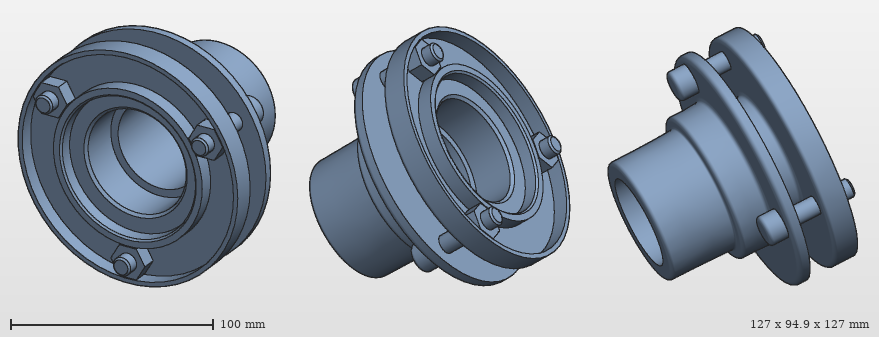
import cadquery as cq
import math


flange_radius = 63.5
front_flange_thickness = 13.3
rear_flange_front = 26.9
rear_flange_thickness = 6.4
rear_flange_back = rear_flange_front + rear_flange_thickness

boss_back = 51.7
neck_back = 88.3
waist_radius_front = 32.6
waist_radius_back = 32.1
boss_radius_front = 39.5
boss_radius_back = 39.1
neck_radius_front = 33.3
neck_radius_back = 32.6

edge_round = 2.0
rear_flange_round = 2.5
neck_root_round = 1.0
match_tolerance = 0.01

pocket_radius = 122.0 / 2
pocket_ring_radius = 86.0 / 2
pocket_depth = 8.0

seat_mouth_radius = 39.5
seat_chamfer = 1.0
seat_floor_radius = 38.1
seat_depth = 7.4
bore_radius = 56.6 / 2
bore_chamfer = 1.5
bore_depth = 30.5
outlet_radius = 48.1 / 2

bolt_circle_radius = 52.0
bolt_angles = (30, 150, 270)
shank_radius = 10.0 / 2
head_radius = 16.0 / 2
head_height = 10.0
tip_length = 6.6
tip_chamfer = 1.0
nut_across_flats = 17.0
nut_across_corners = nut_across_flats / math.cos(math.radians(30))


def turned(profile):
    """Revolve a closed outline of (radius, y) points about the Y axis."""
    return cq.Workplane("XY").polyline(profile).close().revolve(360, (0, 0), (0, 1))


def round_rim(body, y, radius, rounding):
    """Round the circular edge of the given radius lying at height y on the axis."""

    def is_rim(edge):
        same_height = abs(edge.Center().y - y) < match_tolerance
        if edge.geomType() != "CIRCLE" or not same_height:
            return False
        return abs(edge.radius() - radius) < match_tolerance

    rims = [edge for edge in body.edges().vals() if is_rim(edge)]
    return body.newObject(rims).fillet(rounding)


def rod(x, z, radius, start, end):
    """Cylinder parallel to the Y axis between two heights."""
    return cq.Workplane("XZ", origin=(x, start, z)).circle(radius).extrude(start - end)


def make_body():
    body = turned([
        (0, 0),
        (flange_radius, 0),
        (flange_radius, front_flange_thickness),
        (waist_radius_front, front_flange_thickness),
        (waist_radius_back, rear_flange_front),
        (flange_radius, rear_flange_front),
        (flange_radius, rear_flange_back),
        (boss_radius_front, rear_flange_back),
        (boss_radius_back, boss_back),
        (neck_radius_front, boss_back),
        (neck_radius_back, neck_back),
        (0, neck_back),
    ])
    body = round_rim(body, front_flange_thickness, flange_radius, edge_round)
    body = round_rim(body, front_flange_thickness, waist_radius_front, edge_round)
    body = round_rim(body, rear_flange_back, flange_radius, rear_flange_round)
    body = round_rim(body, rear_flange_back, boss_radius_front, edge_round)
    body = round_rim(body, boss_back, boss_radius_back, edge_round)
    body = round_rim(body, boss_back, neck_radius_front, neck_root_round)
    return round_rim(body, neck_back, neck_radius_back, edge_round)


def make_pocket():
    return turned([
        (pocket_ring_radius, 0),
        (pocket_radius, 0),
        (pocket_radius, pocket_depth),
        (pocket_ring_radius, pocket_depth),
    ])


def make_bore():
    return turned([
        (0, 0),
        (seat_mouth_radius, 0),
        (seat_mouth_radius - seat_chamfer, seat_chamfer),
        (seat_floor_radius, seat_depth),
        (bore_radius + bore_chamfer, seat_depth),
        (bore_radius, seat_depth + bore_chamfer),
        (bore_radius, bore_depth),
        (outlet_radius, bore_depth),
        (outlet_radius, neck_back),
        (0, neck_back),
    ])


def make_bolt(angle):
    """Bolt with a round head on the rear flange and a nut in the pocket."""
    x = bolt_circle_radius * math.cos(math.radians(angle))
    z = bolt_circle_radius * math.sin(math.radians(angle))
    head_back = rear_flange_back + head_height
    shank = rod(x, z, shank_radius, -tip_length, rear_flange_back)
    shank = shank.faces("<Y").chamfer(tip_chamfer)
    head = rod(x, z, head_radius, rear_flange_back, head_back)
    head = head.faces(">Y").edges().fillet(edge_round)
    nut = cq.Workplane("XZ", origin=(x, 0, z)).polygon(6, nut_across_corners).extrude(-pocket_depth)
    return shank.union(head).union(nut)


result = make_body().cut(make_pocket()).cut(make_bore())
for bolt_angle in bolt_angles:
    result = result.union(make_bolt(bolt_angle))